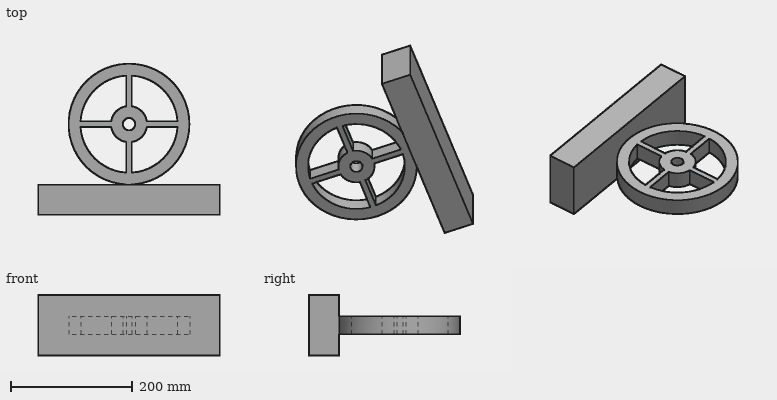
import cadquery as cq

block_length = 300.0
block_height = block_length / 3
block_depth = block_height / 2

wheel_diameter = 2 * block_height
wheel_thickness = 30.0
rim_width = wheel_diameter / 10
rim_inner_diameter = wheel_diameter - 2 * rim_width
hub_diameter = 60.0
bore_diameter = 20.0
spoke_width = 10.0
wheel_center_y = wheel_diameter / 2


def make_block():
    """Bar whose back face lies on the plane Y = 0."""
    return cq.Workplane("XY").box(block_length, block_depth, block_height).translate((0, -block_depth / 2, 0))


def make_ring(outer_diameter, inner_diameter):
    """Flat ring of the wheel's thickness, centred on the origin."""
    return (
        cq.Workplane("XY", origin=(0, 0, -wheel_thickness / 2))
        .circle(outer_diameter / 2)
        .circle(inner_diameter / 2)
        .extrude(wheel_thickness)
    )


def make_windows():
    """Four openings between hub and rim, parted by the crossed spokes."""
    spoke_along_x = cq.Workplane("XY").box(rim_inner_diameter, spoke_width, wheel_thickness)
    spoke_along_y = cq.Workplane("XY").box(spoke_width, rim_inner_diameter, wheel_thickness)
    return make_ring(rim_inner_diameter, hub_diameter).cut(spoke_along_x).cut(spoke_along_y)


def make_wheel():
    """Bored disc with its windows cut through, leaving rim, hub and four flush spokes."""
    disc = make_ring(wheel_diameter, bore_diameter)
    return disc.cut(make_windows()).translate((0, wheel_center_y, 0))


block = make_block()
wheel = make_wheel()

result = cq.Compound.makeCompound([block.val(), wheel.solids().val()])